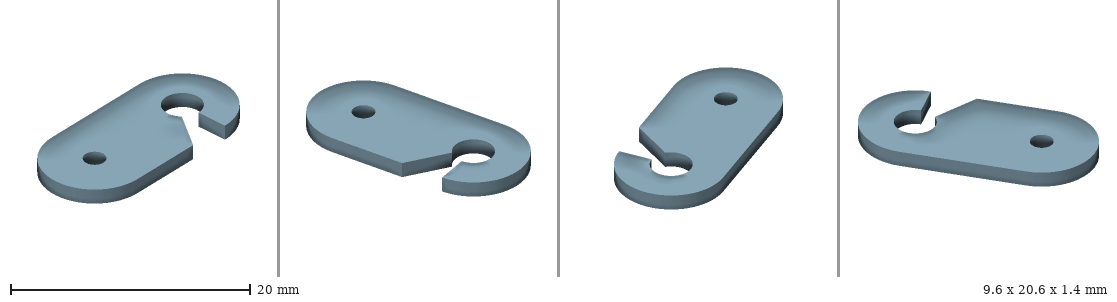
import cadquery as cq
import math

length = 20.6
width = 9.6
thickness = 1.4
end_offset = (length - width) / 2

pin_hole_diameter = 2.0
hook_hole_diameter = 3.6

mouth_side_drop = 4.0
mouth_slope = 35.8


def make_plate():
    return cq.Workplane("XY").slot2D(length, width, 90).extrude(thickness)


def make_hole(diameter, y):
    return cq.Workplane("XY").center(0, y).circle(diameter / 2).extrude(thickness)


def make_mouth():
    """Wedge that opens the hook hole to the +X side."""
    side = width / 2
    slope = math.tan(math.radians(mouth_slope))
    intercept = side * slope - mouth_side_drop
    radius = hook_hole_diameter / 2
    a = 1 + slope**2
    root = math.sqrt(a * radius**2 - intercept**2)
    corner_x = (slope * intercept + root) / a
    corner_y = intercept - slope * corner_x
    return (
        cq.Workplane("XY")
        .center(0, end_offset)
        .moveTo(0, 0)
        .lineTo(side, 0)
        .lineTo(side, -mouth_side_drop)
        .lineTo(corner_x, corner_y)
        .close()
        .extrude(thickness)
    )


result = (
    make_plate()
    .cut(make_hole(pin_hole_diameter, -end_offset))
    .cut(make_hole(hook_hole_diameter, end_offset))
    .cut(make_mouth())
)